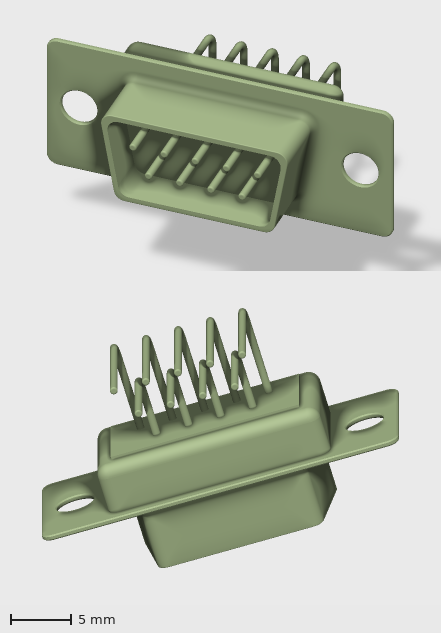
import cadquery as cq
import math


flange_width = 30.8
flange_height = 12.5
flange_thickness = 0.45
flange_corner_radius = 1.0
flange_edge_break = 0.108
screw_hole_diameter = 3.2
screw_hole_spacing = 25.0

shell_top_width = 16.97
shell_height = 8.32
shell_length = 5.75
shell_wall = 0.5
shell_corner_radius = 1.0
shell_root_radius = 0.6
shell_rim_radius = 0.077
shell_side_angle = math.radians(10)
pocket_floor_y = -2.1
root_search_margin = 0.03

housing_width = 19.2
housing_height = 10.3
housing_back_y = 4.5
housing_edge_radius = 1.0
insulator_width = 16.25
insulator_height = 7.33
insulator_back_y = 4.77

pin_diameter = 0.65
pin_pitch = 2.77
row_spacing = 2.53
top_row_count = 5
bottom_row_count = 4
pin_front_y = -5.6
pin_bottom_z = -10.13
pin_bend_radius = 1.3
pin_tip_radius = 0.15
top_row_tail_y = 12.57
bottom_row_tail_y = top_row_tail_y - row_spacing


def block(width, height, front_y, back_y):
    """Box centred on the Y axis, between two Y positions."""
    return (
        cq.Workplane("XZ", origin=(0, front_y, 0))
        .rect(width, height)
        .extrude(front_y - back_y)
    )


def d_prism(inset, front_y, back_y):
    """Rounded trapezoid, wide side up, inset evenly from the shell outline."""
    half_height = shell_height / 2 - inset
    middle_half_width = (
        shell_top_width / 2
        - shell_height / 2 * math.tan(shell_side_angle)
        - inset / math.cos(shell_side_angle)
    )
    side_shift = half_height * math.tan(shell_side_angle)
    top = middle_half_width + side_shift
    bottom = middle_half_width - side_shift
    return (
        cq.Workplane("XZ", origin=(0, front_y, 0))
        .moveTo(-top, half_height)
        .lineTo(top, half_height)
        .lineTo(bottom, -half_height)
        .lineTo(-bottom, -half_height)
        .close()
        .extrude(front_y - back_y)
        .edges("|Y")
        .fillet(shell_corner_radius)
    )


def make_flange():
    """Mounting plate with rounded corners, two screw holes and broken edges on both faces."""
    hole_centres = [(-screw_hole_spacing / 2, 0), (screw_hole_spacing / 2, 0)]
    holes = (
        cq.Workplane("XZ")
        .pushPoints(hole_centres)
        .circle(screw_hole_diameter / 2)
        .extrude(-flange_thickness)
    )
    return (
        block(flange_width, flange_height, 0, flange_thickness)
        .edges("|Y")
        .fillet(flange_corner_radius)
        .cut(holes)
        .faces("<Y or >Y")
        .edges()
        .chamfer(flange_edge_break)
    )


def make_shell_on_flange():
    """Solid D-shaped shell joined to the flange by a flared root, with a softened front rim."""
    shell = d_prism(0, -shell_length, flange_thickness / 2)
    root_edges = cq.selectors.BoxSelector(
        (-shell_top_width / 2, -root_search_margin, -shell_height / 2 - root_search_margin),
        (shell_top_width / 2, root_search_margin, shell_height / 2 + root_search_margin),
    )
    return (
        make_flange()
        .union(shell)
        .edges(root_edges)
        .fillet(shell_root_radius)
        .faces("<Y")
        .edges()
        .fillet(shell_rim_radius)
    )


def make_housing():
    """Rounded rectangular box behind the flange."""
    return (
        block(housing_width, housing_height, flange_thickness / 2, housing_back_y)
        .edges("|Y")
        .fillet(housing_edge_radius)
        .faces(">Y")
        .edges()
        .fillet(housing_edge_radius)
    )


def make_pin(x, z, tail_y):
    """Round pin running back along Y, bent down to a vertical tail."""
    path = (
        cq.Workplane("YZ", origin=(x, 0, 0))
        .moveTo(pin_front_y, z)
        .lineTo(tail_y - pin_bend_radius, z)
        .tangentArcPoint((tail_y, z - pin_bend_radius), relative=False)
        .lineTo(tail_y, pin_bottom_z)
    )
    return (
        cq.Workplane("XZ", origin=(x, pin_front_y, z))
        .circle(pin_diameter / 2)
        .sweep(path)
        .faces("<Y or <Z")
        .edges()
        .fillet(pin_tip_radius)
    )


def make_pin_row(count, z, tail_y):
    """Evenly pitched pins centred on X = 0."""
    first_x = -(count - 1) / 2 * pin_pitch
    return [make_pin(first_x + i * pin_pitch, z, tail_y) for i in range(count)]


body = make_shell_on_flange().union(make_housing())
body = body.cut(d_prism(shell_wall, -shell_length, pocket_floor_y))
body = body.union(block(insulator_width, insulator_height, flange_thickness, insulator_back_y))

pins = make_pin_row(top_row_count, row_spacing / 2, top_row_tail_y)
pins += make_pin_row(bottom_row_count, -row_spacing / 2, bottom_row_tail_y)
for pin in pins:
    body = body.union(pin)

result = body